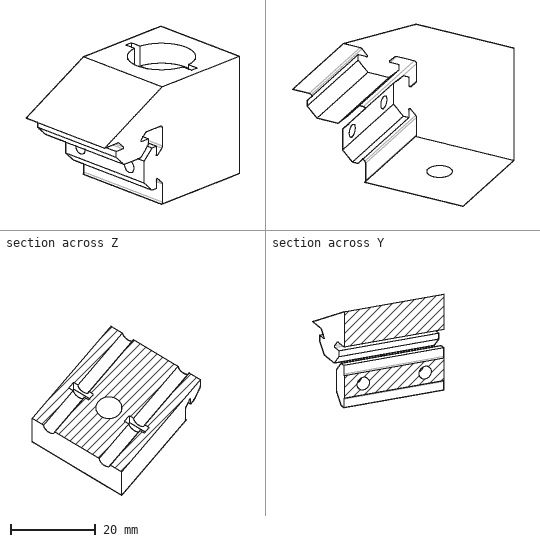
import cadquery as cq

width = 26.0
block_depth = 26.0
height = 30.0
overall_depth = 45.3

rail_size = 20.0
rail_clearance = 0.1
rail_corner_radius = 0.6
rail_center_y = -block_depth - rail_size / 2
rail_center_z = rail_size / 2
wall_y = -block_depth + rail_clearance
ledge_z = rail_size + rail_clearance

neck_base_half = 4.57
neck_base_fillet = 0.7
neck_root_fillet = 0.25
head_inner = 2.0
neck_root_half = neck_base_half - head_inner
head_outer = 6.1
head_half = 5.4
head_chamfer = 2.6

bolt_hole_diameter = 6.0
bolt_seat_diameter = 16.1
bolt_seat_depth = 5.1
bolt_y = -block_depth / 2

screw_diameter = 3.1
screw_spacing = 16.1
screw_z = rail_center_z
nut_slot_width = 5.65
nut_slot_thickness = 1.85
nut_slot_bottom = screw_z - nut_slot_width / 2


def extrude_side_profile(points):
    """Extrude a closed (y, z) outline over the full width, centred on X = 0."""
    side_plane = cq.Workplane("YZ", origin=(-width / 2, 0, 0))
    return side_plane.polyline(points).close().extrude(width)


def make_body():
    """Block with the sloped overhang, cleared for the rail in the corner below it."""
    blank = extrude_side_profile([
        (0, 0),
        (rail_center_y, 0),
        (rail_center_y, ledge_z),
        (-overall_depth, ledge_z),
        (-block_depth, height),
        (0, height),
    ])
    rail_space_size = rail_size + 2 * rail_clearance
    rail_space = (
        cq.Workplane("XY", origin=(0, rail_center_y, rail_center_z))
        .box(width, rail_space_size, rail_space_size)
        .edges("|X")
        .fillet(rail_corner_radius)
    )
    return blank.cut(rail_space)


def wall_tongue_point(out, side):
    """(y, z) of a point on the tongue that stands out from the front wall."""
    return (wall_y - out, rail_center_z + side)


def ledge_tongue_point(out, side):
    """(y, z) of a point on the tongue that hangs from the overhang."""
    return (rail_center_y + side, ledge_z - out)


def add_tongue(part, place):
    """Join a tongue to the part and round its neck; place maps (out, side) to (y, z)."""
    half_outline = [
        (0, neck_base_half),
        (head_inner, neck_root_half),
        (head_inner, head_half),
        (head_outer - head_chamfer, head_half),
        (head_outer, head_half - head_chamfer),
    ]
    outline = half_outline + [(out, -side) for out, side in reversed(half_outline)]
    part = part.union(extrude_side_profile([place(out, side) for out, side in outline]))
    for direction in (-1, 1):
        part = fillet_long_edge(part, place(0, direction * neck_base_half), neck_base_fillet)
        part = fillet_long_edge(part, place(head_inner, direction * neck_root_half), neck_root_fillet)
    return part


def fillet_long_edge(part, point, radius):
    """Round the edge along X that passes through the given (y, z) point."""
    nearest = cq.selectors.NearestToPointSelector((0, *point))
    return part.edges("|X").edges(nearest).fillet(radius)


def cut_bolt_seat(part):
    """Vertical bolt hole with a counterbore in the top face."""
    top = cq.Workplane("XY", origin=(0, bolt_y, height))
    seat = top.circle(bolt_seat_diameter / 2).extrude(-bolt_seat_depth)
    hole = top.circle(bolt_hole_diameter / 2).extrude(-height)
    return part.cut(seat).cut(hole)


def cut_rail_screw(part, x):
    """Screw hole through the block and wall tongue, with a nut slot open to the top."""
    hole_length = head_outer - wall_y
    hole = (
        cq.Workplane("XZ", origin=(x, 0, screw_z))
        .circle(screw_diameter / 2)
        .extrude(hole_length)
    )
    nut_slot = (
        cq.Workplane("XY", origin=(x, bolt_y, nut_slot_bottom))
        .rect(nut_slot_width, nut_slot_thickness)
        .extrude(height - nut_slot_bottom)
    )
    return part.cut(hole).cut(nut_slot)


result = make_body()
for tongue_place in (wall_tongue_point, ledge_tongue_point):
    result = add_tongue(result, tongue_place)
result = cut_bolt_seat(result)
for screw_x in (-screw_spacing / 2, screw_spacing / 2):
    result = cut_rail_screw(result, screw_x)